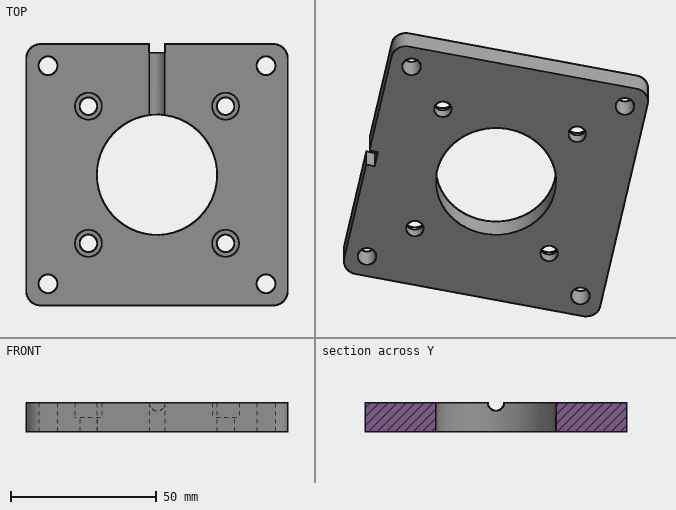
import cadquery as cq

side = 90.0
thickness = 10.0
corner_radius = 5.0

bore_diameter = 41.3
corner_hole_diameter = 6.4
corner_hole_spacing = 75.0
screw_hole_diameter = 5.9
counterbore_diameter = 9.3
counterbore_depth = 5.0
screw_hole_spacing = 47.2

channel_width = 5.5
notch_depth = 3.0

plate = (
    cq.Workplane("XY")
    .rect(side, side)
    .extrude(thickness)
    .edges("|Z")
    .fillet(corner_radius)
)

plate = (
    plate.faces(">Z")
    .workplane(origin=(0, 0, thickness))
    .hole(bore_diameter)
)

plate = (
    plate.faces(">Z")
    .workplane(origin=(0, 0, thickness))
    .rect(corner_hole_spacing, corner_hole_spacing, forConstruction=True)
    .vertices()
    .hole(corner_hole_diameter)
)

plate = (
    plate.faces(">Z")
    .workplane(origin=(0, 0, thickness))
    .rect(screw_hole_spacing, screw_hole_spacing, forConstruction=True)
    .vertices()
    .cboreHole(screw_hole_diameter, counterbore_diameter, counterbore_depth)
)

channel = (
    cq.Workplane("XZ")
    .center(0, thickness)
    .circle(channel_width / 2)
    .extrude(-side / 2)
)

notch = (
    cq.Workplane("XY")
    .center(0, side / 2 - notch_depth / 2)
    .rect(channel_width, notch_depth)
    .extrude(thickness)
)

result = plate.cut(channel).cut(notch)